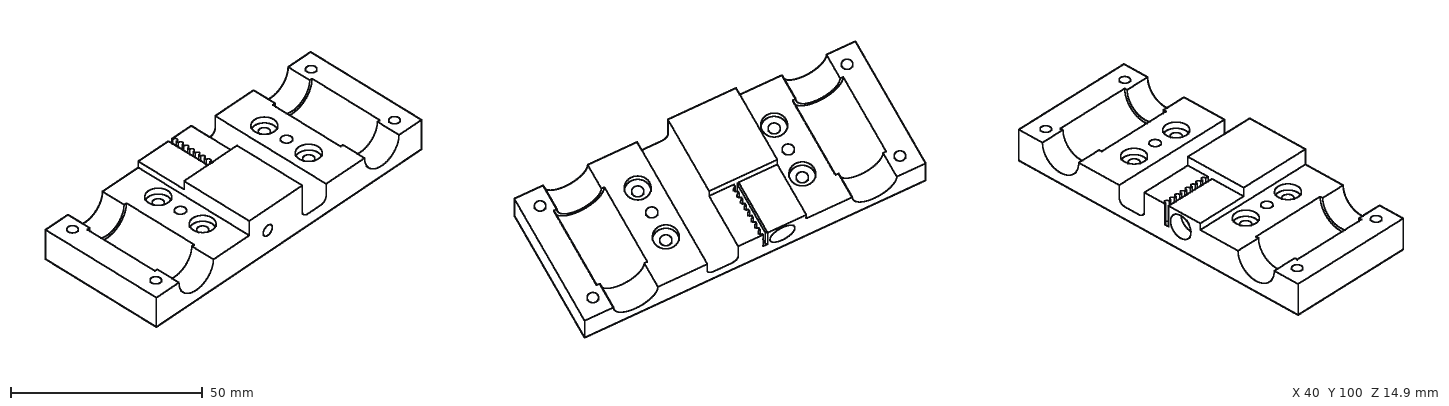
import cadquery as cq
width = 40.0
length = 100.0
base_height = 10.0

block_back = 5.0
block_front = -15.0
block_height = 14.9
step_height = 12.1
step_edge = -3.5

channel_back = 14.0
channel_floor = 4.0
channel_fillet = 2.0

trough_offset = 35.0
trough_radius = 6.5
bearing_radius = 7.4
bearing_length = 24.4

corner_hole_diameter = 3.0
screw_hole_diameter = 3.2
corner_hole_x = 15.0
corner_hole_y = 45.0
screw_head_diameter = 7.0
screw_head_depth = 2.0
screw_x = 8.0
screw_y = 20.0

tension_hole_diameter = 3.4
tension_head_diameter = 7.3
tension_head_depth = 4.0
tension_y = -8.0
tension_z = 7.5

slot_back = -2.3
slot_front = -3.2
slot_floor = 5.4
slot_chamfer = 0.45
tooth_pitch = 2.0
tooth_count = 8
tooth_width = 1.3
tooth_depth = 0.85

left_side = -width / 2


def box(x_range, y_range, z_range):
    """Box spanning the given (low, high) pairs."""
    size = [high - low for low, high in (x_range, y_range, z_range)]
    corner = (x_range[0], y_range[0], z_range[0])
    return cq.Workplane("XY").box(*size, centered=False).translate(corner)


def rod(diameter, x_start, rod_length, y, z):
    """Cylinder running along +X from x_start."""
    start = cq.Workplane("YZ", origin=(x_start, y, z))
    return start.circle(diameter / 2).extrude(rod_length)


def make_body():
    """Plate with the stepped clamp block."""
    plate = cq.Workplane("XY").box(width, length, base_height, centered=(True, True, False))
    block_depth = (block_front, block_back)
    low_step = box((left_side, step_edge), block_depth, (0, step_height))
    high_step = box((step_edge, width / 2), block_depth, (0, block_height))
    return plate.union(low_step).union(high_step)


def make_channel():
    """Channel cutter with filleted floor corners; its top is level with the block."""
    cutter = box((left_side, width / 2), (block_back, channel_back), (channel_floor, block_height))
    return cutter.edges("|X and <Z").fillet(channel_fillet)


def make_trough(y):
    """Half-round trough with a wider bearing seat in the middle."""
    trough = rod(2 * trough_radius, left_side, width, y, base_height)
    seat = rod(2 * bearing_radius, -bearing_length / 2, bearing_length, y, base_height)
    return trough.union(seat)


def make_belt_slot():
    """Belt slot with round-topped tooth gaps and a chamfered mouth on its smooth wall."""
    slot = box((left_side, step_edge), (slot_front, slot_back), (slot_floor, step_height))
    slot_depth = step_height - slot_floor
    tooth_radius = tooth_width / 2
    flank_end = slot_back + tooth_depth - tooth_radius
    first_tooth = left_side + tooth_pitch / 2
    for index in range(tooth_count):
        x = first_tooth + index * tooth_pitch
        gap = (
            cq.Workplane("XY", origin=(x, 0, slot_floor))
            .moveTo(-tooth_radius, slot_front)
            .lineTo(-tooth_radius, flank_end)
            .threePointArc((0, slot_back + tooth_depth), (tooth_radius, flank_end))
            .lineTo(tooth_radius, slot_front)
            .close()
            .extrude(slot_depth)
        )
        slot = slot.union(gap)

    mouth_chamfer = (
        cq.Workplane("XY", origin=(left_side, slot_front, slot_floor))
        .polyline([(0, 0), (slot_chamfer, 0), (0, -slot_chamfer)])
        .close()
        .extrude(slot_depth)
    )
    top_chamfer = (
        cq.Workplane("YZ", origin=(left_side, slot_front, step_height))
        .polyline([(0, 0), (0, -slot_chamfer), (-slot_chamfer, 0)])
        .close()
        .extrude(step_edge - left_side)
    )
    return slot.union(mouth_chamfer).union(top_chamfer)


def drill_plate(part):
    """Corner holes, middle holes and counterbored screw holes, all through the plate."""
    top = cq.Workplane("XY", origin=(0, 0, base_height))
    ends = (-1, 1)
    corner_points = [(i * corner_hole_x, j * corner_hole_y) for i in ends for j in ends]
    screw_points = [(i * screw_x, j * screw_y) for i in ends for j in ends]
    middle_points = [(0, j * screw_y) for j in ends]
    drills = (
        (corner_points, corner_hole_diameter, base_height),
        (middle_points + screw_points, screw_hole_diameter, base_height),
        (screw_points, screw_head_diameter, screw_head_depth),
    )
    for points, diameter, depth in drills:
        part = part.cut(top.pushPoints(points).circle(diameter / 2).extrude(-depth))
    return part


body = make_body().cut(make_channel())
for trough_y in (-trough_offset, trough_offset):
    body = body.cut(make_trough(trough_y))
body = drill_plate(body)
body = body.cut(rod(tension_hole_diameter, left_side, width, tension_y, tension_z))
body = body.cut(rod(tension_head_diameter, left_side, tension_head_depth, tension_y, tension_z))
result = body.cut(make_belt_slot())